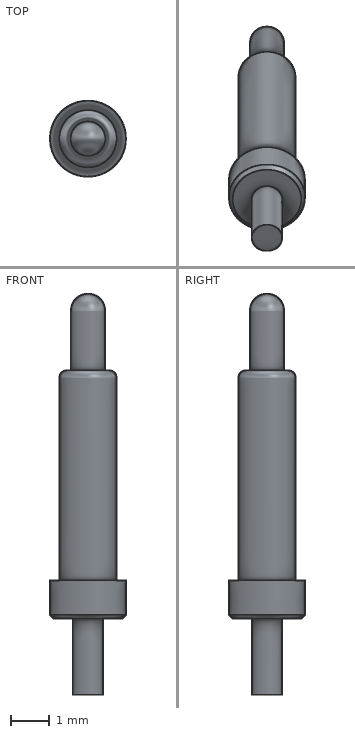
import cadquery as cq

total_length = 10.5

tail_diameter = 0.8
tail_length = 2.0
collar_diameter = 2.0
collar_height = 1.0
collar_chamfer = 0.1
barrel_diameter = 1.5
barrel_length = 5.5
barrel_rim_radius = 0.2

plunger_diameter = 0.9

collar_top = tail_length + collar_height
barrel_top = collar_top + barrel_length


def cylinder(diameter, length, base_z):
    """Upright cylinder on the pin axis."""
    return cq.Workplane("XY").workplane(offset=base_z).circle(diameter / 2).extrude(length)


def make_housing():
    """Tail, chamfered collar and barrel with a rounded rim, as one solid."""
    tail = cylinder(tail_diameter, tail_length, 0)
    collar = cylinder(collar_diameter, collar_height, tail_length)
    collar = collar.faces("<Z").edges().chamfer(collar_chamfer)
    barrel = cylinder(barrel_diameter, barrel_length, collar_top)
    barrel = barrel.faces(">Z").edges().fillet(barrel_rim_radius)
    return tail.union(collar).union(barrel)


def make_plunger():
    """Rod standing on the flat barrel end, revolved with its domed tip."""
    radius = plunger_diameter / 2
    dome_base = total_length - radius
    arc_offset = radius * 0.5 ** 0.5
    return (
        cq.Workplane("XZ")
        .moveTo(0, barrel_top)
        .lineTo(radius, barrel_top)
        .lineTo(radius, dome_base)
        .threePointArc((arc_offset, dome_base + arc_offset), (0, total_length))
        .close()
        .revolve(360, (0, 0, 0), (0, 1, 0))
    )


housing = make_housing()
plunger = make_plunger()

result = cq.Compound.makeCompound([housing.val(), plunger.val()])